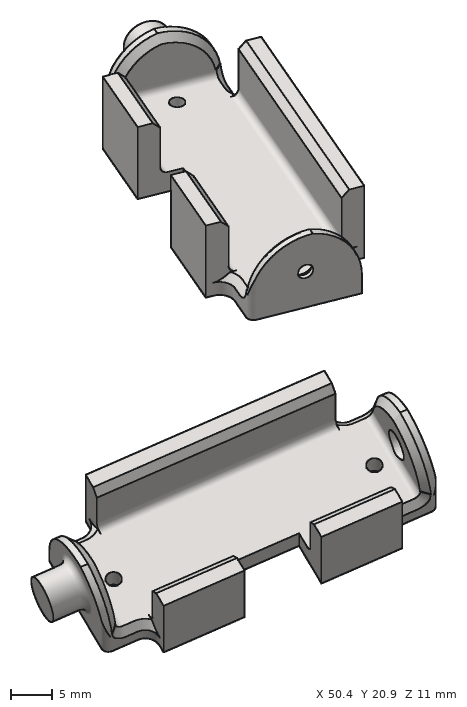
import cadquery as cq
import math

base_length = 45.6
floor_thickness = 3.0
overall_width = 20.9
overall_height = 11.0
floor_fillet = 1.0
edge_chamfer = 1.0

rail_length = 32.6
rail_thickness = 3.0
notch_length = 10.5
notch_depth = 6.0

tab_width = overall_width - 2 * rail_thickness
tab_root_radius = 2.0
end_wall_thickness = 2.0
arch_radius = 8.4
corner_radius = 1.0

pin_diameter = 6.0
pin_length = 4.75
pin_fillet = 1.0
axis_height = overall_height / 2
socket_diameter = 4.0
socket_depth = 1.35
hole_diameter = 2.0
floor_hole_inset = 5.0

half_length = base_length / 2
half_rail = rail_length / 2
half_width = overall_width / 2
half_tab = tab_width / 2
inner_wall_x = half_length - end_wall_thickness
fillet_top_z = floor_thickness + floor_fillet
outline_overrun = 5.0
bevel_angle = 45.0
half_turn = 180.0
full_turn = 360.0


def block(x_range, y_range, z_range):
    """Box spanning the given (low, high) ranges."""
    size = [high - low for low, high in (x_range, y_range, z_range)]
    corner = (x_range[0], y_range[0], z_range[0])
    return cq.Workplane("XY").box(*size, centered=False).translate(corner)


def arch_outline(plane_x):
    """Arched outline in the YZ plane at plane_x: two arcs of one radius meeting off centre.

    The -Y arc is tangent to its side and level at the crest. The +Y arc is tangent to
    the +Y side and meets the crest at a slight angle. The sides run on below the base.
    """
    low_arc_y = arch_radius - half_tab
    low_arc_z = overall_height - arch_radius
    high_arc_y = half_tab - arch_radius
    crest_angle = math.acos((low_arc_y - high_arc_y) / arch_radius)
    high_arc_z = overall_height - arch_radius * math.sin(crest_angle)
    diagonal = arch_radius * math.sqrt(0.5)
    high_mid = (
        high_arc_y + arch_radius * math.cos(crest_angle / 2),
        high_arc_z + arch_radius * math.sin(crest_angle / 2),
    )
    return (
        cq.Workplane("YZ", origin=(plane_x, 0, 0))
        .moveTo(-half_tab, -outline_overrun)
        .lineTo(-half_tab, low_arc_z)
        .threePointArc((low_arc_y - diagonal, low_arc_z + diagonal), (low_arc_y, overall_height))
        .threePointArc(high_mid, (half_tab, high_arc_z))
        .lineTo(half_tab, -outline_overrun)
        .close()
    )


def end_plate():
    """Arched plate at the +X end with its inner rim chamfered."""
    bevel_x = inner_wall_x + edge_chamfer
    outer = arch_outline(bevel_x).extrude(end_wall_thickness - edge_chamfer)
    bevel = arch_outline(bevel_x).extrude(-edge_chamfer, taper=bevel_angle)
    above_base = block((0, half_length), (-half_width, half_width), (0, overall_height))
    return outer.union(bevel).intersect(above_base)


def floor_tab():
    """Floor from mid-length to the +X end, with rounded tab roots and chamfered tab rims."""
    wide = block((0, half_rail), (-half_width, half_width), (0, floor_thickness))
    tab = block((0, half_length), (-half_tab, half_tab), (0, floor_thickness))
    floor = wide.union(tab)
    for side in (-1, 1):
        root = cq.selectors.NearestToPointSelector((half_rail, side * half_tab, floor_thickness / 2))
        floor = floor.edges("|Z").edges(root).fillet(tab_root_radius)
        rim_point = (inner_wall_x, side * half_tab, floor_thickness)
        rim = cq.selectors.NearestToPointSelector(rim_point)
        floor = floor.faces(">Z").edges("|X").edges(rim).chamfer(edge_chamfer)
    return floor.union(wide)


def plate_root():
    """Concave fillet between floor and end plate; its radius flares out through the chamfers."""
    axis_x = inner_wall_x - floor_fillet
    bar = block((axis_x, half_length), (-half_tab, half_tab), (0, fillet_top_z))
    flared_radius = floor_fillet + edge_chamfer
    bevel_y = half_tab - edge_chamfer
    hollow = (
        cq.Workplane("XY", origin=(axis_x, 0, fillet_top_z))
        .moveTo(0, -half_tab)
        .lineTo(flared_radius, -half_tab)
        .lineTo(floor_fillet, -bevel_y)
        .lineTo(floor_fillet, bevel_y)
        .lineTo(flared_radius, half_tab)
        .lineTo(0, half_tab)
        .close()
        .revolve(full_turn, (0, 0, 0), (0, 1, 0))
    )
    within_arch = arch_outline(axis_x).extrude(half_length - axis_x)
    return bar.cut(hollow).intersect(within_arch)


def end_half():
    """Everything of the base on the +X side except the rails."""
    return floor_tab().union(end_plate()).union(plate_root())


def rail():
    """Rail along the +Y side with its inner top edge chamfered and a fillet at its foot."""
    inner_y = half_width - rail_thickness
    foot_y = inner_y - floor_fillet
    return (
        cq.Workplane("YZ", origin=(-half_rail, 0, 0))
        .moveTo(foot_y, 0)
        .lineTo(foot_y, floor_thickness)
        .radiusArc((inner_y, fillet_top_z), -floor_fillet)
        .lineTo(inner_y, overall_height - edge_chamfer)
        .lineTo(inner_y + edge_chamfer, overall_height)
        .lineTo(half_width, overall_height)
        .lineTo(half_width, 0)
        .close()
        .extrude(rail_length)
    )


def turned(shape):
    """The shape turned half a turn about the vertical axis."""
    return shape.rotate((0, 0, 0), (0, 0, 1), half_turn)


def corner_rounder(side):
    """Waste to remove from the outer -Y corner of the end plate on the given X side."""
    corner = (side * half_length, -half_tab)
    inset = (side * (half_length - corner_radius), -half_tab + corner_radius)
    square = block(sorted((corner[0], inset[0])), (corner[1], inset[1]), (0, overall_height))
    kept_round = cq.Workplane("XY").center(*inset).circle(corner_radius).extrude(overall_height)
    return square.cut(kept_round)


def pin():
    """Pin on the outside of the -X plate with a concave fillet at its root."""
    radius = pin_diameter / 2
    return (
        cq.Workplane("XY", origin=(-half_length, 0, axis_height))
        .lineTo(0, radius + pin_fillet)
        .radiusArc((-pin_fillet, radius), pin_fillet)
        .lineTo(-pin_length, radius)
        .lineTo(-pin_length, 0)
        .close()
        .revolve(full_turn, (0, 0, 0), (1, 0, 0))
    )


def socket():
    """Stepped hole through the +X plate, wide on the inner side where it also cuts the root fillet."""
    wide_start = inner_wall_x - floor_fillet
    wide_face = cq.Workplane("YZ", origin=(wide_start, 0, axis_height))
    wide = wide_face.circle(socket_diameter / 2).extrude(floor_fillet + socket_depth)
    narrow = wide_face.circle(hole_diameter / 2).extrude(half_length - wide_start)
    return wide.union(narrow)


def floor_hole(side):
    """Hole through the floor near the end on the given X side."""
    hole_x = side * (half_length - floor_hole_inset)
    return cq.Workplane("XY").center(hole_x, 0).circle(hole_diameter / 2).extrude(floor_thickness)


def notch():
    """Gap that splits the -Y rail in two and reaches into the floor."""
    half_notch = notch_length / 2
    return block((-half_notch, half_notch), (-half_width, notch_depth - half_width), (0, overall_height))


half_base = end_half()
base = half_base.union(turned(half_base))
result = base.union(rail()).union(turned(rail())).union(pin())
result = result.cut(socket()).cut(notch())
for end in (-1, 1):
    result = result.cut(corner_rounder(end)).cut(floor_hole(end))